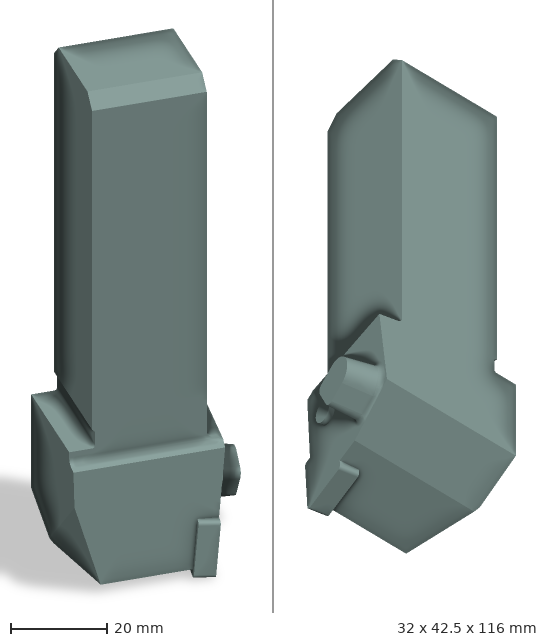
import cadquery as cq
import math


total_height = 116.0
shank_side = 25.0
top_chamfer = 3.0

front_step = 5.0
ledge_z = 31.9
corner_x, corner_z = 24.2, 28.5
shoulder_slope = math.radians(15)
shoulder_fillet = 1.5
lead_angle = 5.0
nose_x, nose_z = 30.2, 2.0
heel_z = 9.4
heel_bend_x = 13.3

groove_depth = 0.7
groove_top_z = 35.7
groove_fillet = 0.7

bevel_top_z = 20.5
bevel_angle = 20.0
bevel_direction = 45.0

back_y, back_z = 31.1, 28.5
back_tilt = math.tan(math.radians(6.0))
trim_allowance = 1.2

insert_side = 12.9
insert_thickness = 4.8
insert_nose_radius = 0.8
insert_tip_x, insert_tip_z = 32.1, -0.08

nozzle_width = 8.0
nozzle_length = 6.8
nozzle_x, nozzle_z = 6.0, 12.3
nozzle_turn = 20.0
nozzle_height = 8.2
nozzle_draft = 5.0
nozzle_corner = 2.3
nozzle_fillet = 1.0

button_diameter = 5.1
button_x, button_z = 21.3, 18.6
button_height = 1.4

lean = math.tan(math.radians(lead_angle))
edge_top_x = nose_x - lean * (corner_z - nose_z)
back_normal = cq.Vector(back_tilt, 1, -back_tilt)
head_back = back_y + trim_allowance
block_size = 2 * total_height


def back_face_y(x, z):
    """Y of the tilted back face at a given X and Z."""
    return back_y - back_tilt * x + back_tilt * (z - back_z)


def back_face_plane(x, z):
    """Workplane on the back face: local X runs along +X, local Y downwards, normal outwards."""
    return cq.Plane(
        origin=(x, back_face_y(x, z), z),
        xDir=(1, -back_tilt, 0),
        normal=back_normal,
    )


def make_side_outline():
    """Silhouette in X and Z, extruded through the full depth of the head."""
    bend_z = nose_z + lean * (nose_x - heel_bend_x)
    shoulder_root_z = corner_z + (edge_top_x - shank_side) * math.tan(shoulder_slope)
    outline = [
        (0, heel_z),
        (heel_bend_x, bend_z),
        (nose_x, nose_z),
        (edge_top_x, corner_z),
        (shank_side, shoulder_root_z),
        (shank_side, total_height),
        (0, total_height),
    ]
    solid = cq.Workplane("XZ", origin=(0, head_back, 0)).polyline(outline).close()
    solid = solid.extrude(head_back + front_step)
    root = cq.NearestToPointSelector((shank_side, head_back / 2, shoulder_root_z))
    solid = solid.edges("|Y").edges(root).fillet(shoulder_fillet)
    return solid.faces(">Z").edges("|Y").chamfer(top_chamfer)


def make_depth_outline():
    """Silhouette in Y and Z, extruded across the full width of the head."""
    rise = math.tan(shoulder_slope)
    root_z = back_z + (back_y - shank_side) * rise
    outline = [
        (-front_step, 0),
        (head_back, 0),
        (head_back, root_z - (head_back - shank_side) * rise),
        (shank_side, root_z),
        (shank_side, total_height),
        (0, total_height),
        (0, groove_top_z + groove_depth),
        (groove_depth, groove_top_z),
        (groove_depth, ledge_z),
        (-front_step, ledge_z),
    ]
    solid = cq.Workplane("YZ").polyline(outline).close().extrude(nose_x)
    back_root = cq.NearestToPointSelector((nose_x / 2, shank_side, root_z))
    groove_root = cq.NearestToPointSelector((nose_x / 2, groove_depth, ledge_z))
    solid = solid.edges("|X").edges(back_root).fillet(shoulder_fillet)
    return solid.edges("|X").edges(groove_root).fillet(groove_fillet)


def make_back_trim():
    """Block that removes everything behind the tilted back face."""
    return cq.Workplane(back_face_plane(0, back_z)).rect(block_size, block_size).extrude(total_height)


def make_bevel():
    """Block that bevels the front of the head at the cutting corner."""
    along = math.radians(bevel_direction)
    tilt = math.radians(bevel_angle)
    line_x = nose_x - lean * (bevel_top_z - nose_z)
    normal = (
        math.sin(along) * math.sin(tilt),
        -math.cos(tilt),
        -math.cos(along) * math.sin(tilt),
    )
    plane = cq.Plane(
        origin=(line_x, -front_step, bevel_top_z),
        xDir=(math.cos(along), 0, math.sin(along)),
        normal=normal,
    )
    return cq.Workplane(plane).rect(block_size, block_size).extrude(total_height)


def make_nozzle():
    """Drafted boss with one round end, its flat end turned towards the cutting corner."""
    radius = nozzle_width / 2 + nozzle_height * math.tan(math.radians(nozzle_draft))
    profile = (
        cq.Workplane(back_face_plane(nozzle_x, nozzle_z))
        .transformed(rotate=(0, 0, nozzle_turn))
        .moveTo(0, -radius)
        .lineTo(nozzle_length - nozzle_corner, -radius)
        .radiusArc((nozzle_length, nozzle_corner - radius), -nozzle_corner)
        .lineTo(nozzle_length, radius - nozzle_corner)
        .radiusArc((nozzle_length - nozzle_corner, radius), -nozzle_corner)
        .lineTo(0, radius)
        .threePointArc((-radius, 0), (0, -radius))
        .close()
    )
    return profile.extrude(nozzle_height, taper=nozzle_draft)


def make_button():
    """Low round button beside the insert."""
    plane = back_face_plane(button_x, button_z)
    return cq.Workplane(plane).circle(button_diameter / 2).extrude(button_height)


def make_insert():
    """Rhombic cutting insert, its outer face flush with the tilted back face."""
    along = insert_side * math.cos(math.radians(lead_angle))
    across = insert_side * math.sin(math.radians(lead_angle))
    corners = [(0, 0), (-along, -across), (-along - across, -along - across), (-across, -along)]
    blank = cq.Workplane(back_face_plane(insert_tip_x, insert_tip_z)).polyline(corners).close()
    blank = blank.extrude(-insert_thickness)
    return blank.edges(cq.selectors.ParallelDirSelector(back_normal)).fillet(insert_nose_radius)


def make_holder(insert):
    """Shank and head with the nozzle and button, and a recess that fits the insert."""
    holder = make_side_outline().intersect(make_depth_outline())
    holder = holder.cut(make_back_trim()).cut(make_bevel())
    holder = holder.union(make_nozzle())
    back_face = holder.faces(cq.selectors.DirectionNthSelector(back_normal, 0)).val()
    nozzle_root = back_face.innerWires()[0].Edges()
    holder = holder.newObject(nozzle_root).fillet(nozzle_fillet)
    holder = holder.union(make_button())
    return holder.cut(insert)


insert = make_insert()
holder = make_holder(insert)
result = cq.Compound.makeCompound([holder.val(), insert.val()])